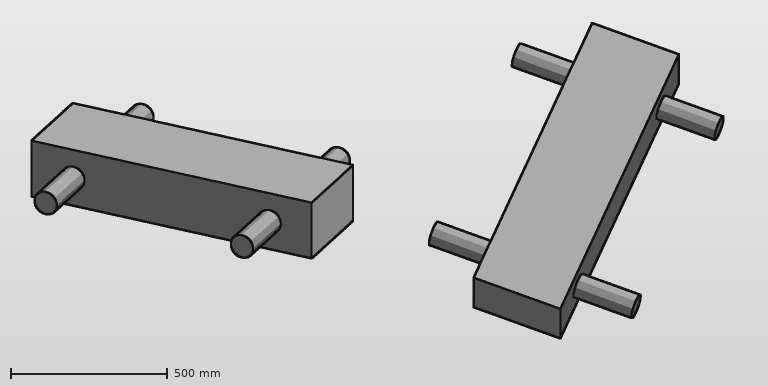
import cadquery as cq

body_length = 1000
body_width = 300
body_height = 200

pin_diameter = 80
pin_projection = 200
pin_spacing = 700
pin_length = body_width + 2 * pin_projection

body = cq.Workplane("XY").box(body_length, body_width, body_height)

pins = (
    cq.Workplane("XZ")
    .pushPoints([(-pin_spacing / 2, 0), (pin_spacing / 2, 0)])
    .circle(pin_diameter / 2)
    .extrude(pin_length / 2, both=True)
)

result = body.union(pins)